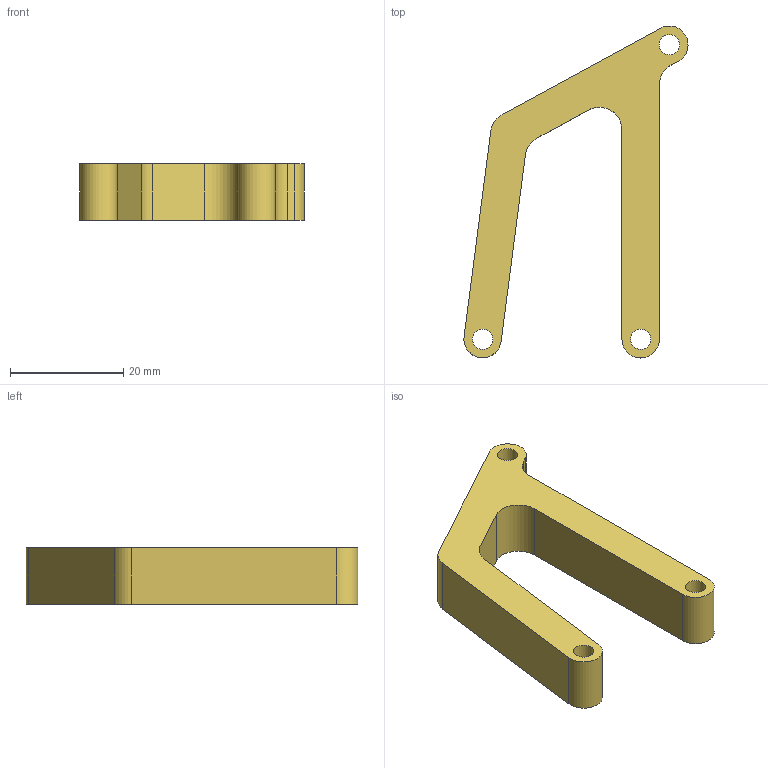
import cadquery as cq
import math

thickness = 10.0
end_radius = 3.3
hole_diameter = 3.6
corner_radius = 4.0

left_foot = (0.0, 0.0)
right_foot = (27.94, 0.0)
tip = (33.02, 52.07)

elbow = (4.76, 36.66)


def heading(start, end):
    """Direction angle from start to end, in radians."""
    return math.atan2(end[1] - start[1], end[0] - start[0])


def step(point, angle, distance):
    """Point reached by moving a distance from a point along an angle."""
    return (point[0] + distance * math.cos(angle), point[1] + distance * math.sin(angle))


def left_corner(before, corner, after):
    """Sharp corner of the arm edges on the left of the path before-corner-after."""
    angle_in = heading(before, corner)
    angle_out = heading(corner, after)
    half_turn = (angle_out - angle_in) / 2
    bisector = (angle_in + angle_out) / 2 + math.pi / 2
    return step(corner, bisector, end_radius / math.cos(half_turn))


def arm_end(centre, direction):
    """Start, middle and finish of the clockwise round end of an arm pointing along direction."""
    quarter = math.pi / 2
    return [step(centre, direction + turn, end_radius) for turn in (quarter, 0, -quarter)]


slope = math.tan(heading(elbow, tip))
junction = (right_foot[0], elbow[1] + slope * (right_foot[0] - elbow[0]))

elbow_outside = left_corner(left_foot, elbow, tip)
elbow_inside = left_corner(tip, elbow, left_foot)
junction_inside = left_corner(right_foot, junction, elbow)
junction_outside = left_corner(tip, junction, right_foot)

tip_end = arm_end(tip, heading(elbow, tip))
right_end = arm_end(right_foot, heading(junction, right_foot))
left_end = arm_end(left_foot, heading(elbow, left_foot))


def make_plate():
    """Flat bracket with sharp corners at the elbow and the junction."""
    return (
        cq.Workplane("XY")
        .moveTo(*elbow_outside)
        .lineTo(*tip_end[0])
        .threePointArc(*tip_end[1:])
        .lineTo(*junction_outside)
        .lineTo(*right_end[0])
        .threePointArc(*right_end[1:])
        .lineTo(*junction_inside)
        .lineTo(*elbow_inside)
        .lineTo(*left_end[0])
        .threePointArc(*left_end[1:])
        .close()
        .extrude(thickness)
    )


def round_corners(plate):
    """Round the upright edges at the elbow and the junction."""
    for corner in (elbow_outside, elbow_inside, junction_inside, junction_outside):
        nearest = cq.selectors.NearestToPointSelector((*corner, thickness / 2))
        plate = plate.edges("|Z").edges(nearest).fillet(corner_radius)
    return plate


def make_holes():
    """Through holes at the three arm ends."""
    return (
        cq.Workplane("XY")
        .pushPoints([left_foot, right_foot, tip])
        .circle(hole_diameter / 2)
        .extrude(thickness)
    )


result = round_corners(make_plate()).cut(make_holes())